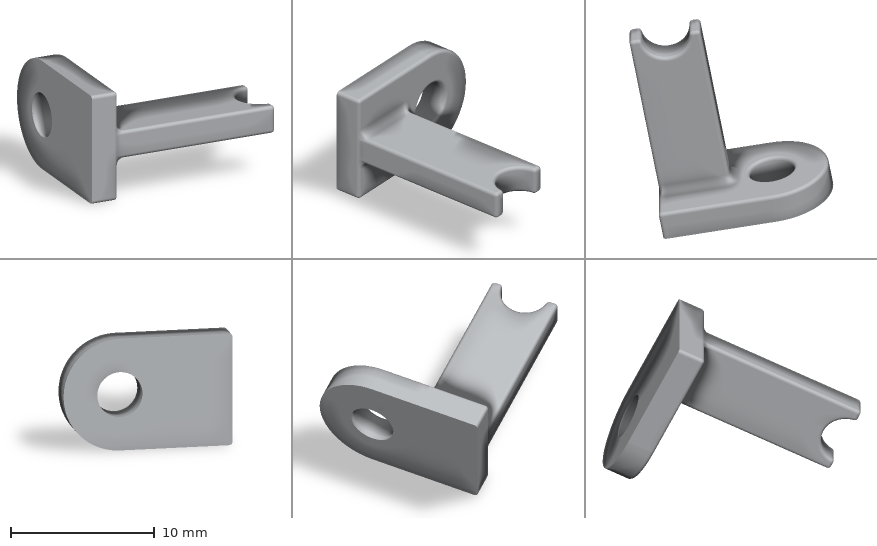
import cadquery as cq

plate_length = 12.0
plate_height = 8.0
plate_thickness = 2.0
plate_end_radius = plate_height / 2
hole_diameter = 3.2

total_depth = 14.2
arm_width = 5.0
arm_thickness = 2.0
arm_edge_gap = 0.11
notch_radius = 1.7
notch_offset = 0.03

edge_radius = 0.25
root_radius = 0.6
selection_margin = 0.01

plate_right = plate_length - plate_end_radius
arm_right = plate_right - arm_edge_gap
arm_left = arm_right - arm_width
arm_center = (arm_left + arm_right) / 2
notch_center = arm_center - notch_offset


def make_plate():
    round_end = cq.Workplane("XZ").circle(plate_end_radius).extrude(-plate_thickness)
    square_part = cq.Workplane("XY").box(
        plate_right, plate_thickness, plate_height, centered=(False, False, True)
    )
    square_part = square_part.edges("|Y and >X").fillet(edge_radius)
    hole = cq.Workplane("XZ").circle(hole_diameter / 2).extrude(-plate_thickness)
    plate = round_end.union(square_part).cut(hole)
    return plate.faces(">Y").edges().fillet(edge_radius)


def make_arm():
    arm_start = plate_thickness / 2
    arm = cq.Workplane("XY", origin=(arm_center, arm_start, 0)).box(
        arm_width, total_depth - arm_start, arm_thickness, centered=(True, False, True)
    )
    notch = (
        cq.Workplane("XY", origin=(notch_center, total_depth, -arm_thickness / 2))
        .circle(notch_radius)
        .extrude(arm_thickness)
    )
    arm = arm.cut(notch)
    arm = arm.edges("|Y").fillet(edge_radius)
    tip_zone = cq.selectors.BoxSelector(
        (arm_left - arm_width, total_depth - 2 * notch_radius, -arm_thickness),
        (arm_right + arm_width, total_depth + notch_radius, arm_thickness),
    )
    return arm.edges(tip_zone).edges("not |Y").fillet(edge_radius)


def round_arm_root(part):
    root_zone = cq.selectors.BoxSelector(
        (arm_left - edge_radius, plate_thickness - selection_margin, -arm_thickness),
        (arm_right, plate_thickness + selection_margin, arm_thickness),
        boundingbox=True,
    )
    return part.edges(root_zone).fillet(root_radius)


result = round_arm_root(make_plate().union(make_arm()))